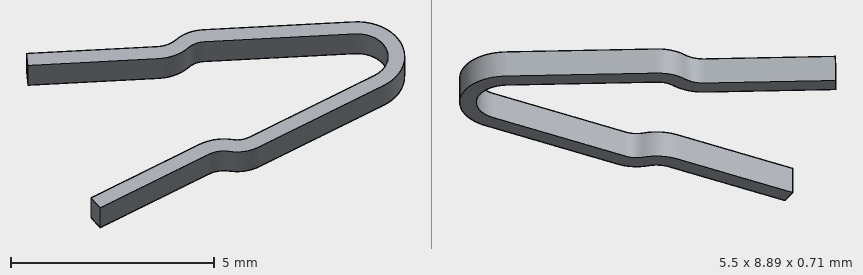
import cadquery as cq
import math

overall_length = 8.89
overall_width = 5.5
strip_thickness = 0.41
strip_height = 0.71
leg_angle = 15.0
crown_radius = 1.17
upper_leg_length = 3.7
shoulder_radius = 0.95
neck_radius = 0.67

half_thickness = strip_thickness / 2
crown_mid_radius = crown_radius - half_thickness
shoulder_mid_radius = shoulder_radius - half_thickness
neck_mid_radius = neck_radius + half_thickness
crown_center_y = overall_length / 2 - crown_radius


def heading(angle):
    """Unit vector pointing toward -Y, turned by angle degrees toward +X."""
    turn = math.radians(angle)
    return cq.Vector(math.sin(turn), -math.cos(turn))


def arc_end(start, start_angle, turn, radius):
    """Middle and end points of an arc; a positive turn bends toward +X."""
    side = math.copysign(90, turn)
    center = start + heading(start_angle + side) * radius
    middle = center - heading(start_angle + turn / 2 + side) * radius
    end = center - heading(start_angle + turn + side) * radius
    return middle, end


crown_top = cq.Vector(0, crown_center_y + crown_mid_radius)
crown_middle, leg_start = arc_end(crown_top, 90, leg_angle - 90, crown_mid_radius)

tip = cq.Vector(
    overall_width / 2 - half_thickness * math.cos(math.radians(leg_angle)),
    -overall_length / 2 + half_thickness * math.sin(math.radians(leg_angle)),
)

jog_offset = (tip - leg_start).dot(heading(leg_angle - 90))
jog_angle = math.degrees(math.acos(1 - jog_offset / (shoulder_mid_radius + neck_mid_radius)))
shoulder_start = leg_start + heading(leg_angle) * upper_leg_length
shoulder_middle, neck_start = arc_end(shoulder_start, leg_angle, -jog_angle, shoulder_mid_radius)
neck_middle, neck_end = arc_end(neck_start, leg_angle - jog_angle, jog_angle, neck_mid_radius)

center_line = (
    cq.Workplane("XY")
    .moveTo(crown_top.x, crown_top.y)
    .threePointArc(crown_middle.toTuple()[:2], leg_start.toTuple()[:2])
    .lineTo(shoulder_start.x, shoulder_start.y)
    .threePointArc(shoulder_middle.toTuple()[:2], neck_start.toTuple()[:2])
    .threePointArc(neck_middle.toTuple()[:2], neck_end.toTuple()[:2])
    .lineTo(tip.x, tip.y)
)

right_half = (
    cq.Workplane("YZ", origin=crown_top.toTuple())
    .rect(strip_thickness, strip_height)
    .sweep(center_line)
)
result = right_half.union(right_half.mirror("YZ"))